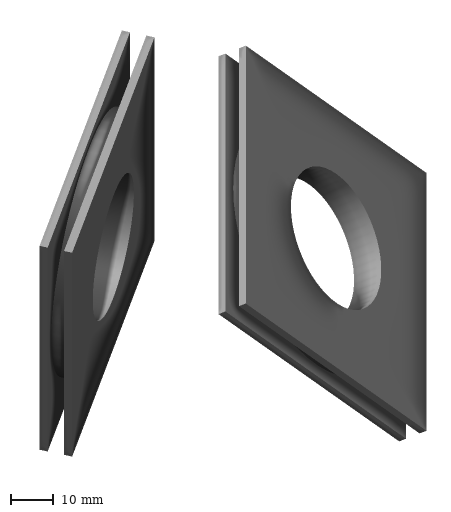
import cadquery as cq

plate_side = 71.1
total_thickness = 8.0
plate_thickness = 2.0
hub_diameter = 65.0
bore_diameter = 35.55

hub_thickness = total_thickness - 2 * plate_thickness


def square_plate(start_x):
    """Square plate standing in the YZ plane, growing toward +X from start_x."""
    return (
        cq.Workplane("YZ", origin=(start_x, 0, 0))
        .rect(plate_side, plate_side)
        .extrude(plate_thickness)
    )


hub = (
    cq.Workplane("YZ", origin=(-hub_thickness / 2, 0, 0))
    .circle(hub_diameter / 2)
    .extrude(hub_thickness)
)

bore = (
    cq.Workplane("YZ", origin=(-total_thickness / 2, 0, 0))
    .circle(bore_diameter / 2)
    .extrude(total_thickness)
)

body = hub
for start_x in (-total_thickness / 2, hub_thickness / 2):
    body = body.union(square_plate(start_x))

result = body.cut(bore)